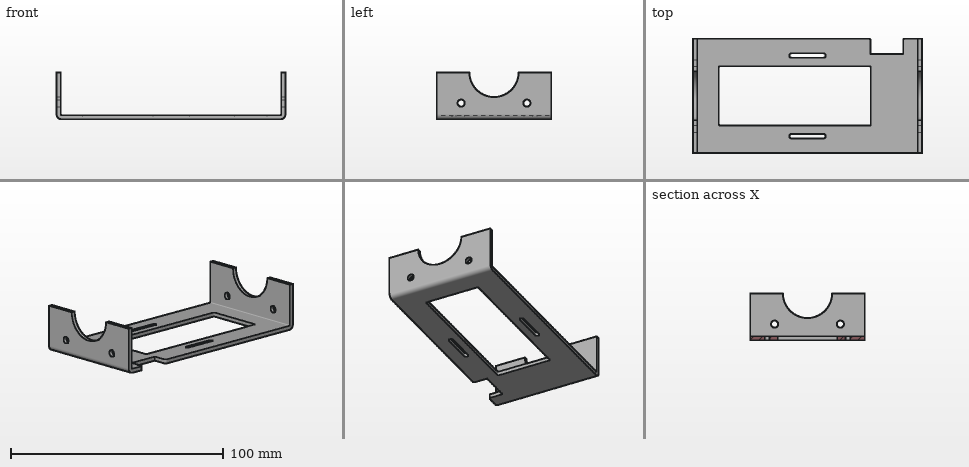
import cadquery as cq

length = 108.0
width = 54.0
height = 22.1
thickness = 2.0
inner_bend_radius = 0.4
outer_bend_radius = inner_bend_radius + thickness

window_left = 12.2
window_length = 71.6
window_width = 27.9
window_corner_radius = 0.5
slot_length = 17.1
slot_width = 2.0
slot_offset = 19.0
notch_length = 15.2
notch_depth = 7.2
notch_corner_radius = 0.9

cradle_radius = 11.6
hole_diameter = 3.2
hole_spacing = 31.0
hole_height = 7.7

window_right = window_left + window_length - length / 2
window_center_x = window_right - window_length / 2
notch_center_x = window_right + notch_length / 2


def bent_sheet():
    """U-shaped sheet with rounded bends, its bottom on Z = 0."""
    outer = (
        cq.Workplane("XY")
        .box(length, width, height, centered=(True, True, False))
        .edges("|Y and <Z")
        .fillet(outer_bend_radius)
    )
    inner = (
        cq.Workplane("XY", origin=(0, 0, thickness))
        .box(length - 2 * thickness, width, height, centered=(True, True, False))
        .edges("|Y and <Z")
        .fillet(inner_bend_radius)
    )
    return outer.cut(inner)


def window_cutter():
    """Rectangular opening with small corner rounds."""
    return (
        cq.Workplane("XY")
        .center(window_center_x, 0)
        .rect(window_length, window_width)
        .extrude(thickness)
        .edges("|Z")
        .fillet(window_corner_radius)
    )


def slot_cutter():
    """One straight slot on each side of the window."""
    return (
        cq.Workplane("XY")
        .pushPoints([(0, -slot_offset), (0, slot_offset)])
        .slot2D(slot_length, slot_width)
        .extrude(thickness)
    )


def cut_notch(body):
    """Cut the notch in the +Y edge and round its two outer corners."""
    cutter = (
        cq.Workplane("XY")
        .center(notch_center_x, width / 2 - notch_depth / 2)
        .rect(notch_length, notch_depth)
        .extrude(thickness)
    )
    corner_edges = cq.selectors.BoxSelector(
        (notch_center_x - notch_length, width / 2 - notch_depth / 2, -thickness),
        (notch_center_x + notch_length, width / 2 + notch_depth / 2, thickness),
    )
    return body.cut(cutter).edges("|Z").edges(corner_edges).fillet(notch_corner_radius)


def flange_cutter():
    """Half-round cradle and two screw holes, passing through both flanges."""
    section = cq.Workplane("YZ", origin=(-length / 2, 0, 0))
    cradle = section.center(0, height).circle(cradle_radius).extrude(length)
    holes = (
        section.pushPoints([(-hole_spacing / 2, hole_height), (hole_spacing / 2, hole_height)])
        .circle(hole_diameter / 2)
        .extrude(length)
    )
    return cradle.union(holes)


result = cut_notch(bent_sheet()).cut(window_cutter()).cut(slot_cutter()).cut(flange_cutter())